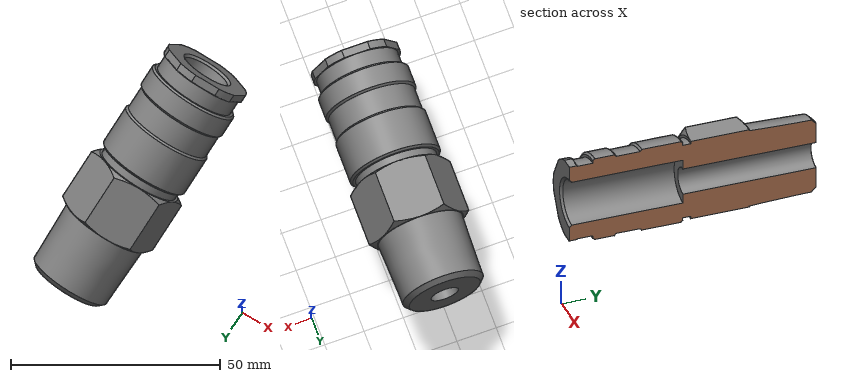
import cadquery as cq
import math


hex_sides = 6
corner_ratio = 1 / math.cos(math.pi / hex_sides)

flange_end = 2.0
front_collar_start = 6.0
front_collar_end = 12.0
rear_collar_start = 18.0
rear_collar_end = 29.0
hex_start = 31.0
hex_end = 46.0
total_length = 63.0

flange_diameter = 22.0
flange_across_flats = 21.0
neck_diameter = 20.7
collar_diameter = 23.0
groove_diameter = 22.0
collar_chamfer = 0.5

hex_across_flats = 22.0
hex_chamfer_angle = 30.0

thread_gauge_diameter = 20.955
thread_gauge_length = 8.2
thread_taper = 1 / 16
thread_chamfer = 1.2

through_bore_diameter = 7.0
tube_bore_diameter = 12.0
tube_bore_depth = 29.0
tube_bore_chamfer = 0.6


def cylinder(diameter, start, end):
    """Cylinder about the Y axis between two stations."""
    plane = cq.Workplane("XZ", origin=(0, start, 0))
    return plane.circle(diameter / 2).extrude(start - end)


def hexagon(across_flats, start, end):
    """Hexagonal prism about the Y axis with its corners on the X axis."""
    corner_diameter = across_flats * corner_ratio
    plane = cq.Workplane("XZ", origin=(0, start, 0))
    return plane.polygon(hex_sides, corner_diameter).extrude(start - end)


def revolved(profile):
    """Solid turned about the Y axis from (radius, station) points."""
    return cq.Workplane("XY").polyline(profile).close().revolve(360, (0, 0), (0, 1))


def collar(start, end):
    """Raised ring with both outer edges chamfered."""
    return cylinder(collar_diameter, start, end).edges().chamfer(collar_chamfer)


def flange():
    """Round end flange with six flats."""
    disc = cylinder(flange_diameter, 0, flange_end)
    return disc.intersect(hexagon(flange_across_flats, 0, flange_end))


def wrench_hexagon():
    """Hexagon whose corners are turned off conically at both ends."""
    flat_radius = hex_across_flats / 2
    corner_radius = flat_radius * corner_ratio
    chamfer_length = (corner_radius - flat_radius) * math.tan(math.radians(hex_chamfer_angle))
    envelope = revolved([
        (0, hex_start),
        (flat_radius, hex_start),
        (corner_radius, hex_start + chamfer_length),
        (corner_radius, hex_end - chamfer_length),
        (flat_radius, hex_end),
        (0, hex_end),
    ])
    return hexagon(hex_across_flats, hex_start, hex_end).intersect(envelope)


def thread_radius(station):
    """Radius of the tapered thread at a station along Y."""
    gauge_station = total_length - thread_gauge_length
    return (thread_gauge_diameter - (station - gauge_station) * thread_taper) / 2


def tapered_thread():
    """Plain taper standing in for the thread, chamfered at its free end."""
    chamfer_start = total_length - thread_chamfer
    return revolved([
        (0, hex_end),
        (thread_radius(hex_end), hex_end),
        (thread_radius(chamfer_start), chamfer_start),
        (thread_radius(chamfer_start) - thread_chamfer, total_length),
        (0, total_length),
    ])


def bores():
    """Through bore and the wider tube socket with its lead-in chamfer."""
    socket_radius = tube_bore_diameter / 2
    lead_in = revolved([
        (0, 0),
        (socket_radius + tube_bore_chamfer, 0),
        (socket_radius, tube_bore_chamfer),
        (0, tube_bore_chamfer),
    ])
    through_bore = cylinder(through_bore_diameter, 0, total_length)
    socket = cylinder(tube_bore_diameter, 0, tube_bore_depth)
    return through_bore.union(socket).union(lead_in)


body = cylinder(neck_diameter, 0, hex_start)
body = body.union(flange())
body = body.union(cylinder(groove_diameter, front_collar_end, rear_collar_start))
body = body.union(collar(front_collar_start, front_collar_end))
body = body.union(collar(rear_collar_start, rear_collar_end))
body = body.union(wrench_hexagon())
body = body.union(tapered_thread())
result = body.cut(bores())